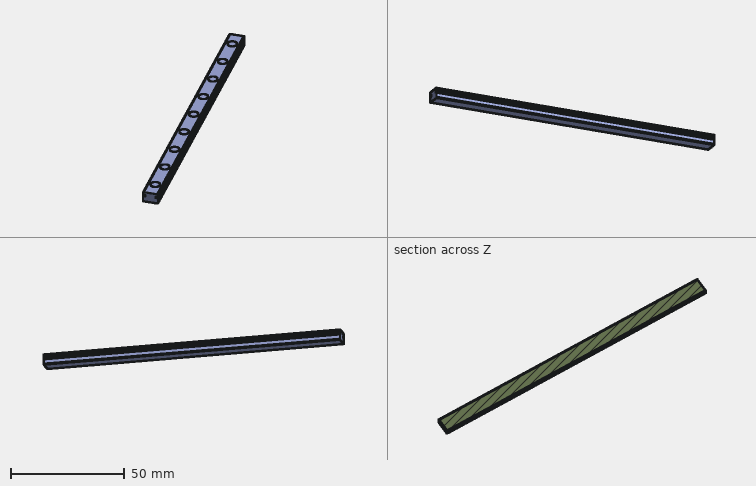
import cadquery as cq

length = 135.0
width = 7.0
height = 4.9
edge_chamfer = 0.4

groove_center_z = 0.65
mouth_height = 1.4
mouth_depth = 0.1
slot_height = 0.5
slot_depth = 1.2

seat_count = 9
seat_pitch = length / seat_count
seat_diameter = 4.2
seat_depth = 0.07


def rail_body():
    """Rectangular bar with its four long edges chamfered."""
    return cq.Workplane("XY").box(width, length, height).edges("|Y").chamfer(edge_chamfer)


def flank_groove():
    """Full-length cutter for the groove in the +X flank."""
    flank_x = width / 2
    mouth_x = flank_x - mouth_depth
    slot_end_x = flank_x - slot_depth
    arc_start_x = slot_end_x + slot_height / 2
    mouth_top = mouth_height / 2
    slot_top = slot_height / 2
    return (
        cq.Workplane("XZ", origin=(0, length / 2, groove_center_z))
        .moveTo(flank_x, mouth_top)
        .lineTo(mouth_x, mouth_top)
        .lineTo(mouth_x, slot_top)
        .lineTo(arc_start_x, slot_top)
        .threePointArc((slot_end_x, 0), (arc_start_x, -slot_top))
        .lineTo(mouth_x, -slot_top)
        .lineTo(mouth_x, -mouth_top)
        .lineTo(flank_x, -mouth_top)
        .close()
        .extrude(length)
    )


def top_seats():
    """Evenly spaced discs reaching down from the top face."""
    return (
        cq.Workplane("XY", origin=(0, 0, height / 2))
        .rarray(1.4, seat_pitch, 1, seat_count)
        .circle(seat_diameter / 2)
        .extrude(-seat_depth)
    )


right_groove = flank_groove()
left_groove = right_groove.mirror("YZ")
result = rail_body().cut(right_groove).cut(left_groove).cut(top_seats())